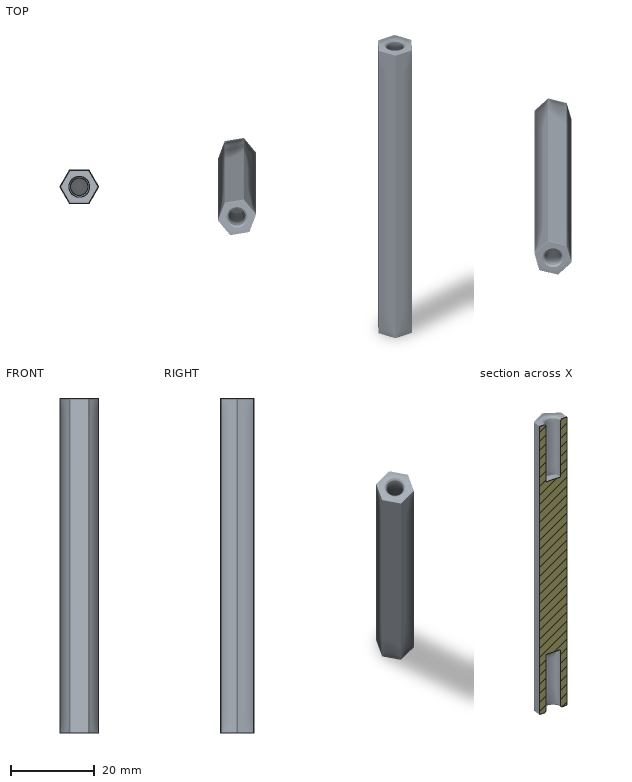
import cadquery as cq
import math

length = 80.0
across_flats = 8.0
edge_radius = 0.1
bore_diameter = 4.2
mouth_chamfer = 0.4
mouth_angle = 90
bore_depth = 16.0

across_corners = across_flats / math.cos(math.radians(30))
mouth_diameter = bore_diameter + 2 * mouth_chamfer


def make_body():
    """Hexagonal bar with every outer edge slightly rounded."""
    bar = cq.Workplane("XY").polygon(6, across_corners).extrude(length)
    return bar.edges().fillet(edge_radius)


def cut_bore(solid, face):
    """Cut a blind bore with a chamfered mouth into one end face."""
    end_plane = solid.faces(face).workplane(centerOption="CenterOfMass")
    return end_plane.cskHole(bore_diameter, mouth_diameter, mouth_angle, bore_depth)


result = make_body()
for end_face in (">Z", "<Z"):
    result = cut_bore(result, end_face)